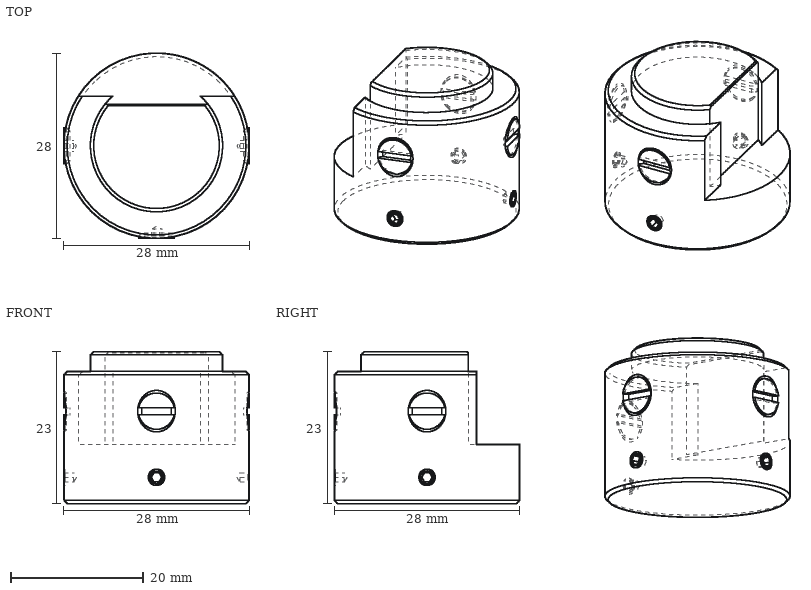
import cadquery as cq
import math

body_diameter = 28.0
body_radius = body_diameter / 2
body_height = 20.0
body_top_chamfer = 0.5
body_bottom_chamfer = 0.5
step_height = 9.0
step_face_y = 7.5

insert_diameter = 20.0
insert_top = 23.0
insert_flat_y = 6.25
insert_chamfer = 0.5
insert_flat_chamfer = 0.2

slotted_screw_z = 14.0
countersink_diameter = 6.27
slot_floor_diameter = 4.5
head_diameter = 5.5
slot_width = 1.05
slot_depth = (countersink_diameter - slot_floor_diameter) / 2

set_screw_z = 4.0
set_screw_diameter = 2.45
set_screw_chamfer_width = 0.28
set_screw_chamfer_depth = 0.17
socket_flats = 1.4
socket_depth = 1.4
socket_point_angle = 120.0

screw_angles = (0, 90, -90)


def make_body():
    body = cq.Workplane("XY").circle(body_radius).extrude(body_height)
    body = body.faces(">Z").chamfer(body_top_chamfer)
    body = body.faces("<Z").chamfer(body_bottom_chamfer)
    insert_bore = cq.Workplane("XY", origin=(0, 0, step_height)).circle(insert_diameter / 2)
    insert_bore = insert_bore.extrude(body_height)
    return body.cut(space_behind(step_face_y)).cut(insert_bore)


def space_behind(face_y):
    """Everything above the step and behind the plane y = face_y."""
    space = cq.Workplane("XY").box(body_diameter, body_diameter, body_diameter, centered=(True, False, False))
    return space.translate((0, face_y, step_height))


def make_insert():
    insert = cq.Workplane("XY", origin=(0, 0, step_height)).circle(insert_diameter / 2)
    insert = insert.extrude(insert_top - step_height)
    insert = insert.faces(">Z").chamfer(insert_chamfer)
    insert = insert.cut(space_behind(insert_flat_y))
    return insert.faces(">Z").edges(">Y").chamfer(insert_flat_chamfer)


def front_plane(z):
    """Plane touching the front of the body at height z, facing out along -Y."""
    return cq.Workplane("XZ", origin=(0, -body_radius, z))


def make_countersink():
    return front_plane(slotted_screw_z).circle(countersink_diameter / 2).extrude(-slot_depth, taper=45)


def make_slotted_head():
    head = front_plane(slotted_screw_z).circle(head_diameter / 2).extrude(-slot_depth)
    slot = front_plane(slotted_screw_z).rect(countersink_diameter, slot_width).extrude(-slot_depth)
    return head.intersect(make_countersink()).cut(slot)


def turned_inwards(profile):
    """Solid of revolution about the set screw axis, from (radius, depth) points."""
    solid = cq.Workplane("XY").polyline(profile).close().revolve(360, (0, 0), (0, 1))
    return solid.translate((0, -body_radius, set_screw_z))


def make_set_screw_groove():
    """V-shaped ring between the hole wall and the chamfered end of the set screw."""
    outer_radius = set_screw_diameter / 2
    inner_radius = outer_radius - set_screw_chamfer_width
    return turned_inwards([(inner_radius, 0), (outer_radius, 0), (outer_radius, set_screw_chamfer_depth)])


def make_hex_socket():
    """Hexagon socket, flats at top and bottom, ending in a drill point."""
    corner_radius = socket_flats / math.sqrt(3)
    point_depth = corner_radius / math.tan(math.radians(socket_point_angle / 2))
    full_depth = socket_depth + point_depth
    hexagon = front_plane(set_screw_z).polygon(6, 2 * corner_radius).extrude(-full_depth)
    drill = turned_inwards([(0, 0), (corner_radius, 0), (corner_radius, socket_depth), (0, full_depth)])
    return hexagon.intersect(drill)


def around_z(shape, angle):
    return shape.rotate((0, 0, 0), (0, 0, 1), angle)


result = make_body().union(make_insert())
for angle in screw_angles:
    result = result.cut(around_z(make_countersink(), angle))
    result = result.union(around_z(make_slotted_head(), angle))
    result = result.cut(around_z(make_set_screw_groove(), angle))
    result = result.cut(around_z(make_hex_socket(), angle))